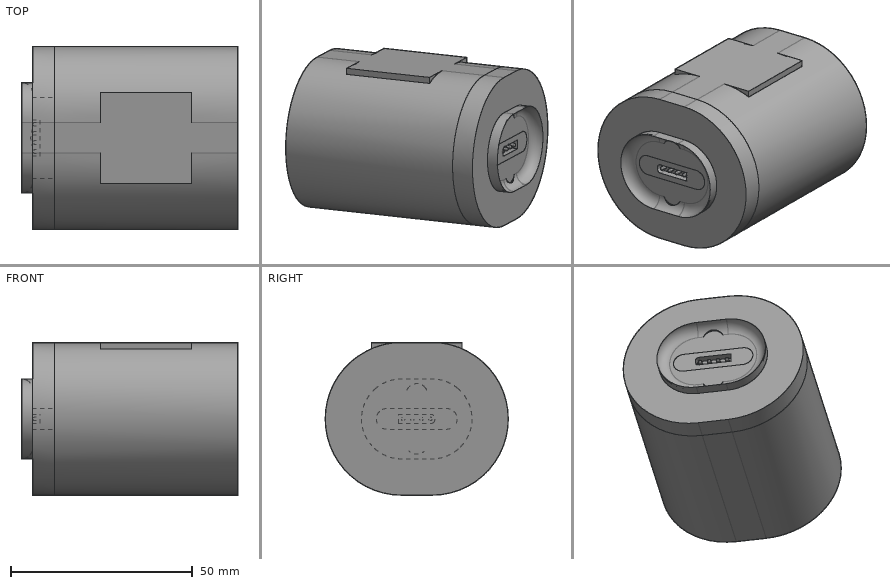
import cadquery as cq
import math

body_height = 42.0
body_width = 50.39
flat_width = body_width - body_height

spigot_length = 3.0
cap_thickness = 6.0
total_length = 59.4
cap_front = spigot_length
housing_front = cap_front + cap_thickness
housing_length = total_length - housing_front

pad_size = 25.0
pad_depth = 4.0

spigot_height = 22.0
dish_radius = spigot_length
floor_height = spigot_height - 2 * dish_radius

notch_radius = 3.0
notch_offset = 6.7

insert_width = 22.2
insert_height = 5.7
insert_depth = cap_thickness

pocket_width = 9.9
pocket_height = 2.5
pocket_depth = 2.0
pocket_corner_radius = 1.0

pin_diameter = 1.0
pin_pitch = 2.5
pin_count = 4
pin_length = 1.9
pin_tip_radius = 0.45


def racetrack(x_start, length, width, height):
    """Bar along X with a racetrack section that is long in Y."""
    return (
        cq.Workplane("YZ", origin=(x_start, 0, 0))
        .slot2D(width, height)
        .extrude(length)
    )


def make_housing():
    barrel = racetrack(housing_front, housing_length, body_width, body_height)
    pad = cq.Workplane("XY").box(pad_size, pad_size, pad_depth).translate(
        (housing_front + housing_length / 2, 0, (body_height - pad_depth) / 2)
    )
    return barrel.union(pad)


def dish_profile():
    """Upper half of the dish section, with its concave wall tangent to the floor."""
    floor_radius = floor_height / 2
    rim_radius = spigot_height / 2
    arc_middle = dish_radius * math.sqrt(0.5)
    return (
        cq.Workplane("XZ")
        .moveTo(0, 0)
        .lineTo(0, rim_radius)
        .threePointArc((arc_middle, floor_radius + arc_middle), (dish_radius, floor_radius))
        .lineTo(dish_radius, 0)
        .close()
    )


def make_dish():
    upper_middle = dish_profile().extrude(flat_width / 2, both=True)
    middle = upper_middle.union(upper_middle.mirror("XY"))
    left_end = (
        dish_profile()
        .revolve(180, (0, 0, 0), (-1, 0, 0))
        .translate((0, flat_width / 2, 0))
    )
    return middle.union(left_end).union(left_end.mirror("XZ"))


def make_cap():
    plate = racetrack(cap_front, cap_thickness, body_width, body_height)
    spigot = racetrack(0, spigot_length, spigot_height + flat_width, spigot_height)
    notches = (
        cq.Workplane("YZ")
        .pushPoints([(0, -notch_offset), (0, notch_offset)])
        .circle(notch_radius)
        .extrude(spigot_length)
    )
    insert_slot = racetrack(cap_front, insert_depth, insert_width, insert_height)
    return plate.union(spigot).cut(make_dish()).cut(notches).cut(insert_slot)


def make_pocket():
    return (
        cq.Workplane("YZ", origin=(cap_front, 0, 0))
        .rect(pocket_width, pocket_height)
        .extrude(pocket_depth)
        .edges("|X and >Y")
        .fillet(pocket_corner_radius)
    )


def make_pin(y):
    return (
        cq.Workplane("YZ", origin=(cap_front + pocket_depth, y, 0))
        .circle(pin_diameter / 2)
        .extrude(-pin_length)
        .faces("<X")
        .edges()
        .fillet(pin_tip_radius)
    )


def make_insert():
    insert = racetrack(cap_front, insert_depth, insert_width, insert_height).cut(make_pocket())
    for index in range(pin_count):
        insert = insert.union(make_pin((index - (pin_count - 1) / 2) * pin_pitch))
    return insert


housing = make_housing()
cap = make_cap()
insert = make_insert()

result = cq.Compound.makeCompound([housing.val(), cap.val(), insert.val()])